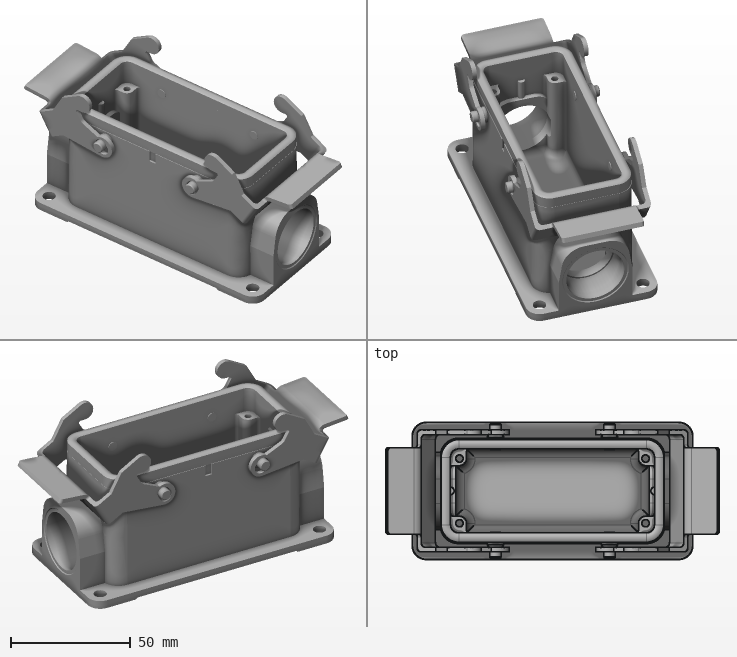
import cadquery as cq
import math

LENGTH = 139.0

BASE_X = 117.0
BASE_Y = 57.3
BASE_THICK = 3.8
BASE_CORNER = 6.0
MOUNT_HOLE_DIA = 5.5
FOOT_RELIEF_X = 77.6
FOOT_RELIEF_DEPTH = 0.7

BODY_X = 93.7
BODY_Y = 44.0
BODY_CORNER = 7.8
BODY_TOP = 50.3
BODY_DRAFT = 0.4
CAVITY_X = 85.1
CAVITY_Y = 35.0
CAVITY_CORNER = 3.5
FLOOR_Z = 3.8
FLOOR_FILLET = 3.5

POST_X = 38.8
POST_Y = 13.5
POST_RADIUS = 2.9
POST_TOP = 44.0
POST_WALL_FILLET = 1.3
POST_HOLE_DIA = 3.0
POST_HOLE_DEPTH = 16.7

ENTRY_HALF_WIDTH = 16.1
ENTRY_TOP = 36.1
ENTRY_TOP_HALF_WIDTH = 13.5
ENTRY_ROUND = 9.7
BORE_Z = 19.0
MOUTH_DIA = 29.0
MOUTH_FLOOR_DIA = 28.4
BORE_DEPTH = 13.9
BORE_DIA = 25.5
THROAT_DIA = 24.0
PAD_THICK = 2.2
PAD_INSET = 1.4

RIB_RADIUS = 1.5
RIB_TOP = 43.7

KEYWAY_WIDTH = 3.0
KEYWAY_BOTTOM = 45.3
KEYWAY_DEPTH = 1.1

SEAL_WIDTH = 3.9
SEAL_EDGE_TOP = 55.2
SEAL_TOP = 55.9

PIN_X = 23.8
PIN_Z = 45.9
PIN_DIA = 4.9
PIN_TIP_DIA = 4.0
PIN_TIP_Y = 28.0
COLLAR_DIA = 7.0
COLLAR_TOP_DIA = 5.5
COLLAR_RIM_Y = 22.4
PIN_END_DIA = 4.0
PIN_END_RISE = 0.3

SHEET = 2.0
LEVER_HALF_Y = 25.5
LEVER_TILT = 30.0
LEVER_X = -50.5
LEVER_Z = 37.8
LEVER_BEND = 2.0
PLATE_HEIGHT = 12.0
HEEL_S = 8.3
SHOULDER_S = 8.9
BACK_S = 17.5
HOOK_RADIUS = 4.0
HOOK_S = 27.0
HOOK_T = 13.2
THROAT_S = 22.0
THROAT_BOTTOM_T = 5.0
THROAT_TOP_ROUND = 0.8
THROAT_BOTTOM_ROUND = 2.8
EYE_S = 27.2
EYE_T = -7.5
EYE_RADIUS = 5.0
SLOT_DIA = 5.5
SLOT_TRAVEL = 2.0
HANDLE_HALF_Y = 18.1
HANDLE_SLOPE = 5.0
HANDLE_BEND_T = 12.9
HANDLE_CORNER = 1.3
HANDLE_INNER_BEND = 2.0
HANDLE_TIP_SLANT = 0.7
HANDLE_NOTCH_ROUND = 1.1

COLLAR_FACE_Y = LEVER_HALF_Y - SHEET


def rounded_block(size_x, size_y, height, corner, bottom):
    return (
        cq.Workplane("XY", origin=(0, 0, bottom))
        .rect(size_x, size_y)
        .extrude(height)
        .edges("|Z")
        .fillet(corner)
    )


def arch(inset, start_x, end_x):
    """Arched prism along X that stands on the base."""
    half = ENTRY_HALF_WIDTH - inset
    top_half = ENTRY_TOP_HALF_WIDTH - inset
    top = ENTRY_TOP - inset
    return (
        cq.Workplane("YZ", origin=(start_x, 0, 0))
        .polyline([(-half, 0), (half, 0), (half, BORE_Z), (top_half, top), (-top_half, top), (-half, BORE_Z)])
        .close()
        .extrude(end_x - start_x)
        .edges("|X and >Z")
        .fillet(ENTRY_ROUND - inset)
    )


def make_base():
    base = rounded_block(BASE_X, BASE_Y, BASE_THICK, BASE_CORNER, 0)
    holes = (
        cq.Workplane("XY")
        .rect(BASE_X - 2 * BASE_CORNER, BASE_Y - 2 * BASE_CORNER, forConstruction=True)
        .vertices()
        .circle(MOUNT_HOLE_DIA / 2)
        .extrude(BASE_THICK)
    )
    return base.cut(holes)


def foot_relief():
    """Shallow recess across the underside that leaves a foot at each end."""
    half = FOOT_RELIEF_X / 2
    return (
        cq.Workplane("XZ", origin=(0, BASE_Y / 2, 0))
        .polyline(
            [
                (-half, 0),
                (half, 0),
                (half - FOOT_RELIEF_DEPTH, FOOT_RELIEF_DEPTH),
                (FOOT_RELIEF_DEPTH - half, FOOT_RELIEF_DEPTH),
            ]
        )
        .close()
        .extrude(BASE_Y)
    )


def make_posts(wall_fillet):
    """The four screw posts, with concave fillets where they join the cavity walls if asked for."""
    size_x = CAVITY_X / 2 - POST_X + POST_RADIUS
    size_y = CAVITY_Y / 2 - POST_Y + POST_RADIUS
    frame = cq.Workplane("XY").box(CAVITY_X, CAVITY_Y, POST_TOP, centered=(True, True, False))
    opening = frame
    corners = [(side_x, side_y) for side_x in (-1, 1) for side_y in (-1, 1)]
    for side_x, side_y in corners:
        middle = (side_x * (CAVITY_X - size_x) / 2, side_y * (CAVITY_Y - size_y) / 2, POST_TOP / 2)
        opening = opening.cut(cq.Workplane("XY", origin=middle).box(size_x, size_y, POST_TOP))
    for side_x, side_y in corners:
        inner_x = side_x * (CAVITY_X / 2 - size_x)
        inner_y = side_y * (CAVITY_Y / 2 - size_y)
        rounds = [(inner_x, inner_y, POST_RADIUS)]
        if wall_fillet:
            rounds.append((inner_x, side_y * CAVITY_Y / 2, wall_fillet))
            rounds.append((side_x * CAVITY_X / 2, inner_y, wall_fillet))
        for x, y, radius in rounds:
            edge = cq.selectors.NearestToPointSelector((x, y, POST_TOP / 2))
            opening = opening.edges(edge).fillet(radius)
    return frame.cut(opening)


def make_cavity():
    """The open space inside the walls, with the corner posts left standing."""
    cavity = rounded_block(CAVITY_X, CAVITY_Y, SEAL_TOP - FLOOR_Z, CAVITY_CORNER, FLOOR_Z)
    cavity = cavity.cut(make_posts(0))
    return cavity.faces("<Z").edges().fillet(FLOOR_FILLET)


def make_pad():
    """Arched thickening inside the -X end wall, with a concave foot on the floor."""
    wall = -CAVITY_X / 2
    face = wall + PAD_THICK
    inside = cq.Workplane("XY").box(CAVITY_X, 2 * POST_Y, 2 * BODY_TOP)
    pad = arch(PAD_INSET, wall, face).intersect(inside)
    middle = FLOOR_FILLET * (1 - math.sqrt(0.5))
    foot = (
        cq.Workplane("XZ", origin=(0, POST_Y, 0))
        .moveTo(face, FLOOR_Z)
        .lineTo(face, FLOOR_Z + FLOOR_FILLET)
        .threePointArc((face + middle, FLOOR_Z + middle), (face + FLOOR_FILLET, FLOOR_Z))
        .close()
        .extrude(2 * POST_Y)
    )
    return pad.union(foot)


def make_bore():
    """Stepped cable bore of the -X entry, open to the cavity."""
    mouth = BASE_X / 2
    mouth_floor = mouth - (MOUTH_DIA - MOUTH_FLOOR_DIA) / 2
    shoulder = mouth - BORE_DEPTH
    inner_end = CAVITY_X / 2 - PAD_THICK - FLOOR_FILLET
    return (
        cq.Workplane("XY")
        .polyline(
            [
                (-mouth, 0),
                (-mouth, MOUTH_DIA / 2),
                (-mouth_floor, MOUTH_FLOOR_DIA / 2),
                (-mouth_floor, BORE_DIA / 2),
                (-shoulder, BORE_DIA / 2),
                (-shoulder, THROAT_DIA / 2),
                (-inner_end, THROAT_DIA / 2),
                (-inner_end, 0),
            ]
        )
        .close()
        .revolve(360, (0, 0, 0), (1, 0, 0))
        .translate((0, 0, BORE_Z))
    )


def make_pin():
    """Pivot pin on the -Y wall, with its collar and its end inside the cavity."""
    inner = CAVITY_Y / 2 - PIN_END_RISE
    inside_wall = (CAVITY_Y + BODY_Y) / 4
    bevel = (PIN_DIA - PIN_TIP_DIA) / 2
    return (
        cq.Workplane("XY")
        .polyline(
            [
                (0, -inner),
                (PIN_END_DIA / 2, -inner),
                (PIN_END_DIA / 2, -inside_wall),
                (COLLAR_DIA / 2, -inside_wall),
                (COLLAR_DIA / 2, -COLLAR_RIM_Y),
                (COLLAR_TOP_DIA / 2, -COLLAR_FACE_Y),
                (PIN_DIA / 2, -COLLAR_FACE_Y),
                (PIN_DIA / 2, bevel - PIN_TIP_Y),
                (PIN_TIP_DIA / 2, -PIN_TIP_Y),
                (0, -PIN_TIP_Y),
            ]
        )
        .close()
        .revolve(360, (0, 0, 0), (0, 1, 0))
        .translate((0, 0, PIN_Z))
    )


def make_housing():
    walls = (
        cq.Workplane("XY", origin=(0, 0, BASE_THICK))
        .sketch()
        .rect(BODY_X, BODY_Y)
        .vertices()
        .fillet(BODY_CORNER)
        .finalize()
        .extrude(BODY_TOP - BASE_THICK, taper=BODY_DRAFT)
    )
    entries = arch(0, -BASE_X / 2, BASE_X / 2)
    housing = make_base().union(entries).union(walls)
    housing = housing.cut(make_cavity())
    housing = housing.union(make_posts(POST_WALL_FILLET))
    pad = make_pad()
    rib = cq.Workplane("XY", origin=(-CAVITY_X / 2, 0, BORE_Z)).circle(RIB_RADIUS).extrude(RIB_TOP - BORE_Z)
    bore = make_bore()
    housing = housing.cut(foot_relief())
    for turn in (0, 180):
        for part in (pad, rib):
            housing = housing.union(part.rotate((0, 0, 0), (0, 0, 1), turn))
    for turn in (0, 180):
        housing = housing.cut(bore.rotate((0, 0, 0), (0, 0, 1), turn))
    for x in (-POST_X, POST_X):
        for y in (-POST_Y, POST_Y):
            hole = cq.Workplane("XY", origin=(x, y, POST_TOP)).circle(POST_HOLE_DIA / 2).extrude(-POST_HOLE_DEPTH)
            housing = housing.cut(hole)
    for side in (-1, 1):
        keyway = cq.Workplane("XY", origin=(0, side * BODY_Y / 2, KEYWAY_BOTTOM)).rect(
            KEYWAY_WIDTH, 2 * KEYWAY_DEPTH
        )
        housing = housing.cut(keyway.extrude(BODY_TOP - KEYWAY_BOTTOM))
    for turn in (0, 180):
        for x in (-PIN_X, PIN_X):
            housing = housing.union(make_pin().translate((x, 0, 0)).rotate((0, 0, 0), (0, 0, 1), turn))
    return housing


def make_seal():
    """Ring on the rim, swept from a section with an arched top."""
    inner = CAVITY_Y / 2
    outer = inner + SEAL_WIDTH
    section = (
        cq.Workplane("YZ")
        .moveTo(inner, BODY_TOP)
        .lineTo(outer, BODY_TOP)
        .lineTo(outer, SEAL_EDGE_TOP)
        .threePointArc(((inner + outer) / 2, SEAL_TOP), (inner, SEAL_EDGE_TOP))
        .close()
    )
    guide = rounded_block(CAVITY_X, CAVITY_Y, 1.4, CAVITY_CORNER, BODY_TOP).faces("<Z").wires()
    return section.sweep(guide)


def tangent_point(point, center, radius):
    """Point where the line from `point` touches the circle, on its clockwise side."""
    away = math.atan2(point[1] - center[1], point[0] - center[0])
    opening = math.acos(radius / math.dist(point, center))
    angle = away + opening
    return (center[0] + radius * math.cos(angle), center[1] + radius * math.sin(angle))


def lever_outline():
    """Side shape of the untilted lever, as a full-width prism: end plate, hook and eye."""
    tilt = math.radians(LEVER_TILT)
    hook_end = (HOOK_S - HOOK_RADIUS * math.sin(tilt), HOOK_T - HOOK_RADIUS * math.cos(tilt))
    throat_top = hook_end[1] + (hook_end[0] - THROAT_S) * math.tan(tilt)
    outline = (
        cq.Workplane("XZ", origin=(0, LEVER_HALF_Y, 0))
        .moveTo(0, 0)
        .lineTo(0, PLATE_HEIGHT)
        .lineTo(SHOULDER_S, PLATE_HEIGHT)
        .lineTo(BACK_S, HOOK_T + HOOK_RADIUS)
        .lineTo(HOOK_S, HOOK_T + HOOK_RADIUS)
        .threePointArc((HOOK_S + HOOK_RADIUS, HOOK_T), hook_end)
        .lineTo(THROAT_S, throat_top)
        .lineTo(THROAT_S, THROAT_BOTTOM_T)
        .lineTo(EYE_S, EYE_T + EYE_RADIUS)
        .threePointArc((EYE_S + EYE_RADIUS, EYE_T), tangent_point((HEEL_S, 0), (EYE_S, EYE_T), EYE_RADIUS))
        .lineTo(HEEL_S, 0)
        .close()
        .extrude(2 * LEVER_HALF_Y)
    )
    rounds = [
        (THROAT_S, throat_top, THROAT_TOP_ROUND),
        (THROAT_S, THROAT_BOTTOM_T, THROAT_BOTTOM_ROUND),
    ]
    for s, t, radius in rounds:
        outline = outline.edges(cq.selectors.NearestToPointSelector((s, 0, t))).fillet(radius)
    return outline


def bent_sheet():
    """U of sheet metal seen from above: the end plate and the two side plates."""
    reach = EYE_S + 2 * EYE_RADIUS

    def block(start, half_y, bend):
        return (
            cq.Workplane("XY", origin=(start + reach / 2, 0, 0))
            .box(reach, 2 * half_y, 2 * reach)
            .edges("|Z and <X")
            .fillet(bend)
        )

    return block(0, LEVER_HALF_Y, LEVER_BEND).cut(block(SHEET, COLLAR_FACE_Y, LEVER_BEND))


def make_handle():
    """Thumb tab that carries on from the top of the end plate and bends outward."""
    tilt = math.radians(LEVER_TILT)
    rise = math.radians(LEVER_TILT + HANDLE_SLOPE)
    bend_x = LEVER_X - HANDLE_BEND_T * math.sin(tilt)
    length = (LENGTH / 2 + bend_x) / math.cos(math.radians(HANDLE_SLOPE))
    tip = (-length * math.cos(rise), HANDLE_BEND_T + length * math.sin(rise))
    top_length = length - HANDLE_TIP_SLANT
    top_tip = (
        SHEET * math.sin(rise) - top_length * math.cos(rise),
        HANDLE_BEND_T + SHEET * math.cos(rise) + top_length * math.sin(rise),
    )
    bend_top = top_tip[1] - (SHEET - top_tip[0]) * math.tan(rise)
    root = PLATE_HEIGHT / 2
    handle = (
        cq.Workplane("XZ", origin=(0, HANDLE_HALF_Y, 0))
        .polyline([(0, root), (0, HANDLE_BEND_T), tip, top_tip, (SHEET, bend_top), (SHEET, root)])
        .close()
        .extrude(2 * HANDLE_HALF_Y)
    )
    for s, t, radius in [(0, HANDLE_BEND_T, HANDLE_INNER_BEND), (SHEET, bend_top, HANDLE_INNER_BEND + SHEET)]:
        handle = handle.edges(cq.selectors.NearestToPointSelector((s, 0, t))).fillet(radius)
    for side in (-1, 1):
        end_middle = ((tip[0] + top_tip[0]) / 2, side * HANDLE_HALF_Y, (tip[1] + top_tip[1]) / 2)
        corner = cq.selectors.NearestToPointSelector(end_middle)
        handle = handle.edges(corner).fillet(HANDLE_CORNER)
    return handle


def make_lever():
    """Lever on the -X end, tilted into place."""
    lever = lever_outline().intersect(bent_sheet()).union(make_handle())
    for side in (-1, 1):
        notch = cq.selectors.NearestToPointSelector((SHEET / 2, side * HANDLE_HALF_Y, PLATE_HEIGHT))
        lever = lever.edges(notch).fillet(HANDLE_NOTCH_ROUND)
    lever = lever.rotate((0, 0, 0), (0, 1, 0), -LEVER_TILT).translate((LEVER_X, 0, LEVER_Z))
    tilt = math.radians(LEVER_TILT)
    slot_end = (-PIN_X + SLOT_TRAVEL * math.sin(tilt), PIN_Z - SLOT_TRAVEL * math.cos(tilt))
    slot_middle = ((slot_end[0] - PIN_X) / 2, (slot_end[1] + PIN_Z) / 2)
    slot = (
        cq.Workplane("XZ", origin=(slot_middle[0], LEVER_HALF_Y, slot_middle[1]))
        .slot2D(SLOT_TRAVEL + SLOT_DIA, SLOT_DIA, LEVER_TILT + 90)
        .extrude(2 * LEVER_HALF_Y)
    )
    return lever.cut(slot)


housing = make_housing()
seal = make_seal()
levers = [make_lever().rotate((0, 0, 0), (0, 0, 1), turn) for turn in (0, 180)]

result = cq.Compound.makeCompound([housing.val(), seal.val(), *[lever.val() for lever in levers]])